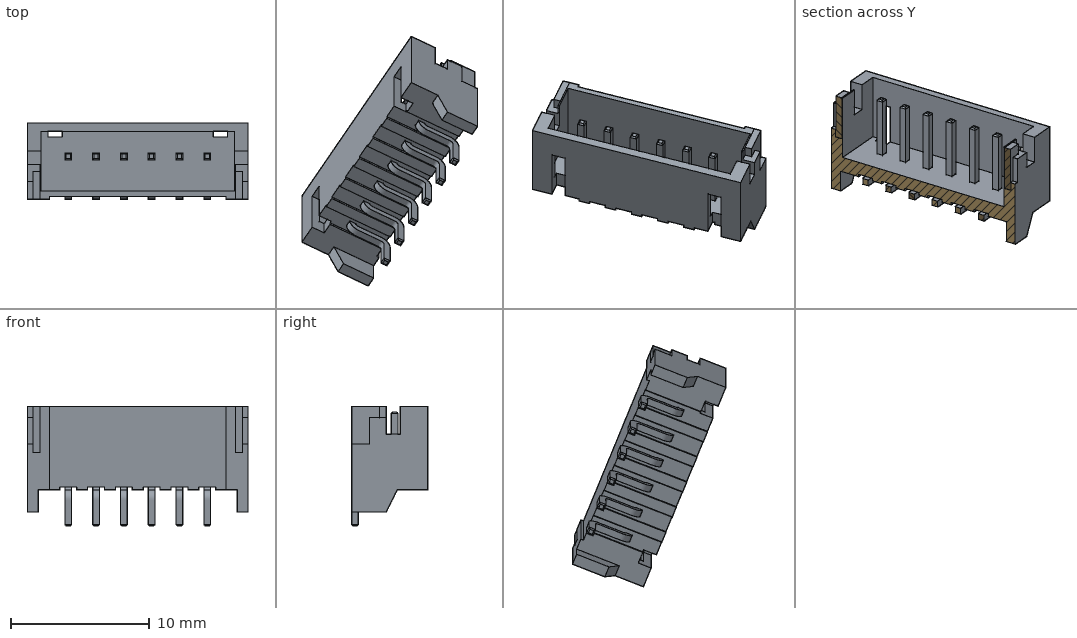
import cadquery as cq
import math


length = 15.9
depth = 5.5
body_height = 6.0
half_length = length / 2

end_wall = 1.0
back_wall = 0.6
front_wall = 0.6
floor_level = 1.2

recess_depth = 0.2
column_width = 1.6

leg_drop = 1.6
leg_width = 0.8
leg_top_depth = 3.3
leg_bottom_depth = 2.5

notch_front = 2.5
notch_width = 1.0
notch_height = 2.0

window_width = 1.0
window_offset = 1.5
window_floor_reach = 0.4
window_top_gap = 2.0

clip_thickness = 0.5
clip_offset = 0.4
clip_depth = 2.0
clip_height = 3.3
clip_inner = clip_offset + clip_thickness
shallow_step_height = 0.8
deep_step_height = 2.7
deep_step_depth = 1.3

pin_count = 6
pitch = 2.0
pin_size = 0.5
pin_tip_gap = 0.4
pin_top = body_height - pin_tip_gap
tail_length = 2.6
pin_back = 3.35
bend_inner_radius = 0.25
bend_outer_radius = bend_inner_radius + pin_size
tip_chamfer = 0.1
groove_width = 1.2
groove_height = 0.2
pin_positions = [(i - (pin_count - 1) / 2) * pitch for i in range(pin_count)]


def box(x_range, y_range, z_range):
    """Axis-aligned block between the given limits."""
    (x0, x1), (y0, y1), (z0, z1) = x_range, y_range, z_range
    return cq.Workplane("XY").box(x1 - x0, y1 - y0, z1 - z0, centered=False).translate((x0, y0, z0))


def mirrored(shape):
    """The same shape at the opposite end of the connector."""
    return shape.mirror("YZ")


def make_leg():
    """Leg under the left end, with a sloping back edge."""
    return (
        cq.Workplane("YZ", origin=(-half_length, 0, 0))
        .polyline([(0, 0), (leg_top_depth, 0), (leg_bottom_depth, -leg_drop), (0, -leg_drop)])
        .close()
        .extrude(leg_width)
    )


def make_clip():
    """Flat plate held upright in the left end wall, flush with the front and top."""
    return box(
        (-half_length + clip_offset, -half_length + clip_inner),
        (0, clip_depth),
        (body_height - clip_height, body_height),
    )


def make_end_cuts():
    """Everything removed from the left end: notch, clip slot, outer steps and window."""
    outside = -half_length
    inside = outside + end_wall
    notch = box(
        (outside, inside),
        (notch_front, notch_front + notch_width),
        (body_height - notch_height, body_height),
    )
    shallow_step = box(
        (outside, outside + clip_inner),
        (0, notch_front),
        (body_height - shallow_step_height, body_height),
    )
    deep_step = box(
        (outside, outside + clip_offset),
        (0, deep_step_depth),
        (body_height - deep_step_height, body_height),
    )
    window_start = outside + window_offset
    window = box(
        (window_start, window_start + window_width),
        (depth - back_wall - window_floor_reach, depth),
        (0, body_height - window_top_gap),
    )
    return [notch, shallow_step, deep_step, window, make_clip()]


def make_pin(x):
    """Square wire: upright contact, bend to the front, bend down to the tail."""
    pin_front = pin_back - pin_size
    diagonal = math.sqrt(0.5)
    rear_y = pin_front - bend_inner_radius
    rear_z = bend_inner_radius
    front_y = bend_outer_radius
    front_z = -bend_outer_radius
    outer = bend_outer_radius * diagonal
    inner = bend_inner_radius * diagonal
    return (
        cq.Workplane("YZ", origin=(x - pin_size / 2, 0, 0))
        .moveTo(pin_front, pin_top)
        .lineTo(pin_back, pin_top)
        .lineTo(pin_back, rear_z)
        .threePointArc((rear_y + outer, rear_z - outer), (rear_y, -pin_size))
        .lineTo(front_y, -pin_size)
        .threePointArc((front_y - inner, front_z + inner), (pin_size, front_z))
        .lineTo(pin_size, -tail_length)
        .lineTo(0, -tail_length)
        .lineTo(0, front_z)
        .threePointArc((front_y - outer, front_z + outer), (front_y, 0))
        .lineTo(rear_y, 0)
        .threePointArc((rear_y + inner, rear_z - inner), (pin_front, rear_z))
        .close()
        .extrude(pin_size)
        .faces("<Z or >Z")
        .chamfer(tip_chamfer)
    )


def make_pin_passage(x):
    """Hole that fits one contact, and the shallow groove it leaves the floor through."""
    groove = box((x - groove_width / 2, x + groove_width / 2), (0, depth), (0, groove_height))
    return [make_pin(x), groove]


def make_housing():
    leg = make_leg()
    body = box((-half_length, half_length), (0, depth), (0, body_height)).union(leg).union(mirrored(leg))
    cavity = box(
        (-half_length + end_wall, half_length - end_wall),
        (front_wall, depth - back_wall),
        (floor_level, body_height),
    )
    recess_half = half_length - column_width
    recess = box((-recess_half, recess_half), (0, recess_depth), (0, body_height))
    body = body.cut(cavity).cut(recess)
    for cut in make_end_cuts():
        body = body.cut(cut).cut(mirrored(cut))
    for x in pin_positions:
        for cut in make_pin_passage(x):
            body = body.cut(cut)
    return body


housing = make_housing()
clip = make_clip()
clips = [clip, mirrored(clip)]
pins = [make_pin(x) for x in pin_positions]

result = cq.Compound.makeCompound([housing.val(), *[c.val() for c in clips], *[p.val() for p in pins]])